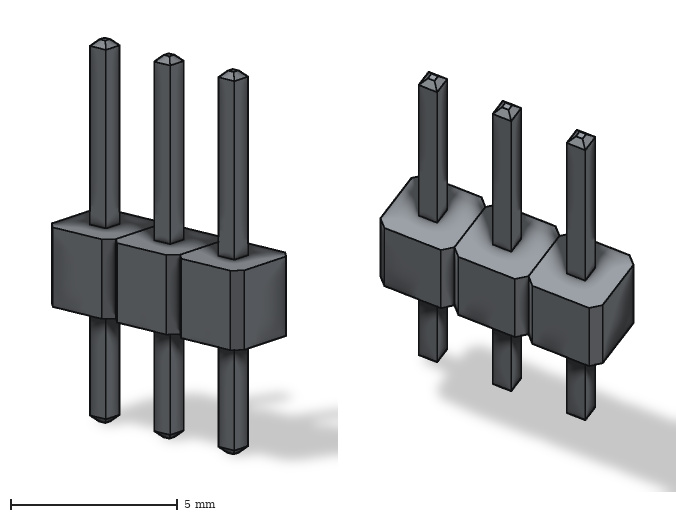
import cadquery as cq

position_count = 3
strip_length = 7.62
pitch = strip_length / position_count
block_size = pitch
block_height = 2.5
block_bevel = 0.3
pin_length = 12.0
pin_width = 0.64
pin_below_block = 3.7
tip_height = 0.2
tip_inset = 0.2


def make_block():
    """Insulating block standing on Z = 0, with its four upright edges bevelled."""
    return (
        cq.Workplane("XY")
        .rect(block_size, block_size)
        .extrude(block_height)
        .edges("|Z")
        .chamfer(block_bevel)
    )


def make_pin():
    """Square pin running through the block, tapered at both ends."""
    return (
        cq.Workplane("XY")
        .workplane(offset=-pin_below_block)
        .rect(pin_width, pin_width)
        .extrude(pin_length)
        .faces("<Z or >Z")
        .chamfer(tip_height, tip_inset)
    )


def make_header_position(x):
    """One header position: block and pin as a single solid, centred at the given X."""
    return make_block().union(make_pin()).translate((x, 0, 0))


first_x = -pitch * (position_count - 1) / 2
header_positions = [
    make_header_position(first_x + index * pitch).val()
    for index in range(position_count)
]

result = cq.Compound.makeCompound(header_positions)